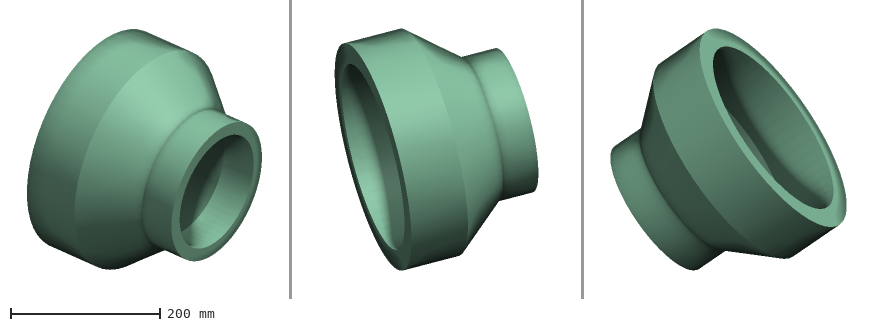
import cadquery as cq

large_outer_diameter = 315.0
large_bore_diameter = 257.8
small_outer_diameter = 200.0
small_bore_diameter = 163.6

total_length = 200.0
large_end_length = 80.0
small_end_length = 50.0
cone_end_x = total_length - small_end_length


def stepped_cone(large_diameter, small_diameter):
    """Solid of revolution: large cylinder, cone, then small cylinder along X."""
    large_radius = large_diameter / 2
    small_radius = small_diameter / 2
    return (
        cq.Workplane("XY")
        .moveTo(0, 0)
        .lineTo(0, large_radius)
        .lineTo(large_end_length, large_radius)
        .lineTo(cone_end_x, small_radius)
        .lineTo(total_length, small_radius)
        .lineTo(total_length, 0)
        .close()
        .revolve(360, (0, 0, 0), (1, 0, 0))
    )


outer_body = stepped_cone(large_outer_diameter, small_outer_diameter)
bore = stepped_cone(large_bore_diameter, small_bore_diameter)

result = outer_body.cut(bore)